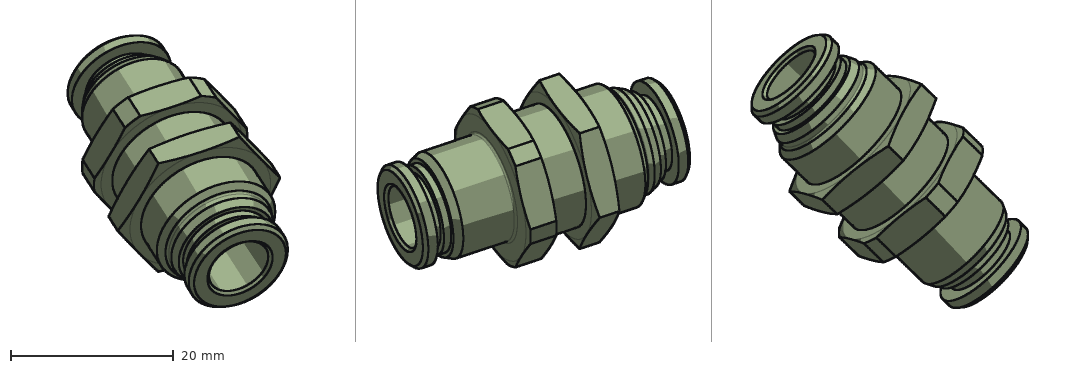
import cadquery as cq
import math


total_length = 36.7
across_flats = 19.0
hex_chamfer_angle = 15.0

collar_radius = 6.7
collar_chamfer = 0.5
collar_width = 1.8
neck_radius = 4.9
neck_end = 3.1
ring_radius = 5.8
ring_end = 4.1
sleeve_radius = 6.9
sleeve_taper_length = 1.1
sleeve_taper_drop = 0.5
sleeve_taper_end = ring_end + sleeve_taper_length
shoulder_fillet = 0.3

fixed_hex_start = 12.5
fixed_hex_width = 4.0
fixed_hex_end = fixed_hex_start + fixed_hex_width
fixed_hex_corner_radius = 10.35

barrel_radius = 8.0
barrel_end = total_length - 7.05
barrel_chamfer = barrel_radius - sleeve_radius - shoulder_fillet
shoulder_face = barrel_end + barrel_chamfer

nut_start = 21.5
nut_width = 3.5

tube_radius = 4.0
mouth_radius = 4.4
mouth_depth = 0.4
bore_radius = 3.5
socket_depth = 15.0
socket_seat_length = 0.3
socket_end = socket_depth + socket_seat_length

hex_corner_radius = across_flats / math.sqrt(3)


def revolve_about_x(profile):
    return profile.close().revolve(360, (0, 0, 0), (1, 0, 0))


def hexagon(start, width):
    """Hexagonal prism with corners on the Y axis and both faces chamfered at the corners."""
    prism = cq.Workplane("YZ", origin=(start, 0, 0)).polygon(6, 2 * hex_corner_radius).extrude(width)
    flat_radius = across_flats / 2
    chamfer_width = (hex_corner_radius - flat_radius) * math.tan(math.radians(hex_chamfer_angle))
    end = start + width
    chamfer_envelope = revolve_about_x(
        cq.Workplane("XY")
        .moveTo(start, 0)
        .lineTo(start, flat_radius)
        .lineTo(start + chamfer_width, hex_corner_radius)
        .lineTo(end - chamfer_width, hex_corner_radius)
        .lineTo(end, flat_radius)
        .lineTo(end, 0)
    )
    return prism.intersect(chamfer_envelope)


def cylinder(start, end, radius):
    return cq.Workplane("YZ", origin=(start, 0, 0)).circle(radius).extrude(end - start)


def sleeve_end(shoulder):
    """Left-hand collar, neck, ring and sleeve, flaring with a fillet into a face at X = shoulder."""
    fillet_start = shoulder - shoulder_fillet
    flare_radius = sleeve_radius + shoulder_fillet
    fillet_mid_offset = shoulder_fillet * math.sqrt(0.5)
    fillet_mid = (fillet_start + fillet_mid_offset, flare_radius - fillet_mid_offset)
    return revolve_about_x(
        cq.Workplane("XY")
        .lineTo(0, collar_radius - collar_chamfer)
        .lineTo(collar_chamfer, collar_radius)
        .lineTo(collar_width, collar_radius)
        .lineTo(collar_width, neck_radius)
        .lineTo(neck_end, neck_radius)
        .lineTo(neck_end, ring_radius)
        .lineTo(ring_end, ring_radius)
        .lineTo(ring_end, sleeve_radius - sleeve_taper_drop)
        .lineTo(sleeve_taper_end, sleeve_radius)
        .lineTo(fillet_start, sleeve_radius)
        .threePointArc(fillet_mid, (shoulder, flare_radius))
        .lineTo(shoulder, 0)
    )


def to_right_end(left_shape):
    """Mirror a left-hand shape to the opposite end of the union."""
    return left_shape.mirror("YZ").translate((total_length, 0, 0))


def tube_socket():
    """Left-hand tube recess: chamfered mouth, tube bore and tapered seat."""
    return revolve_about_x(
        cq.Workplane("XY")
        .lineTo(0, mouth_radius)
        .lineTo(mouth_depth, tube_radius)
        .lineTo(socket_depth, tube_radius)
        .lineTo(socket_end, bore_radius)
        .lineTo(socket_end, 0)
    )


def make_union():
    fixed_hex = hexagon(fixed_hex_start, fixed_hex_width).intersect(
        cylinder(fixed_hex_start, fixed_hex_end, fixed_hex_corner_radius)
    )
    barrel = cylinder(fixed_hex_end, shoulder_face, barrel_radius).faces(">X").chamfer(barrel_chamfer)
    left_sleeve = sleeve_end(fixed_hex_start)
    right_sleeve = to_right_end(sleeve_end(total_length - shoulder_face))
    solid_union = fixed_hex.union(barrel).union(left_sleeve).union(right_sleeve)

    socket = tube_socket()
    through_bore = cylinder(0, total_length, bore_radius)
    return solid_union.cut(through_bore).cut(socket).cut(to_right_end(socket))


def make_lock_nut():
    nut_bore = cylinder(nut_start, nut_start + nut_width, barrel_radius)
    return hexagon(nut_start, nut_width).cut(nut_bore)


tube_union = make_union()
lock_nut = make_lock_nut()

result = cq.Compound.makeCompound([tube_union.val(), lock_nut.val()])